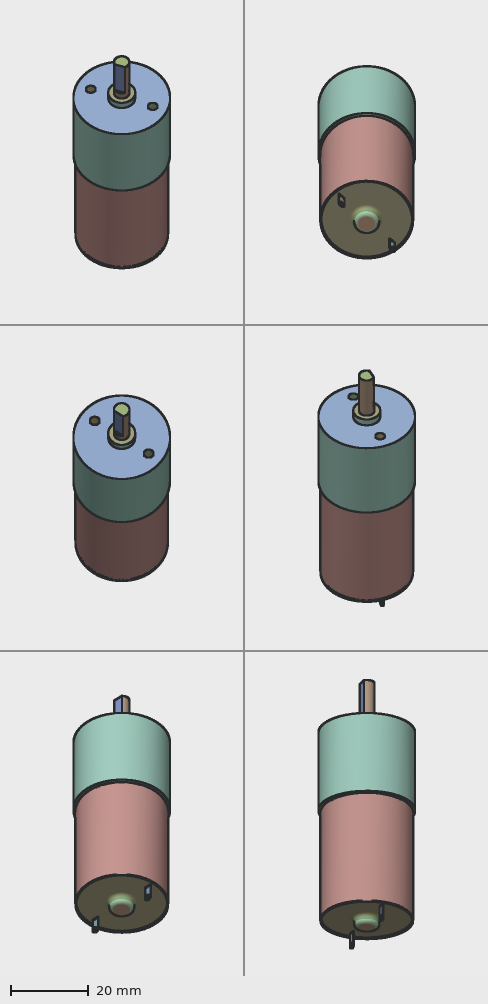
import cadquery as cq
import math

can_diameter = 24.0
can_height = 31.0
can_rounding = 0.8
recess_diameter = 23.4
recess_depth = 0.4

gearbox_diameter = 25.0
gearbox_height = 22.0
collar_diameter = 7.0
collar_height = 2.0

shaft_diameter = 4.0
shaft_length = 12.0
flat_length = 10.0
flat_depth = 0.6

mount_hole_diameter = 2.46
mount_hole_spacing = 17.0
mount_hole_depth = 4.0
drill_tip_angle = 118.0

cap_diameter = 6.5
cap_drop = 2.1
cap_rounding = 1.0

tab_width = 2.0
tab_length = 4.0
tab_thickness = 0.3
tab_spacing = 19.0
tab_hole_diameter = 1.0

gearbox_top = can_height + gearbox_height
collar_top = gearbox_top + collar_height
shaft_top = collar_top + shaft_length


def cylinder(diameter, bottom, height):
    return cq.Workplane("XY").workplane(offset=bottom).circle(diameter / 2).extrude(height)


def motor_can():
    """Can with a rounded upper rim and a shallow recess in its underside."""
    can = cylinder(can_diameter, 0, can_height)
    can = can.faces(">Z").edges().fillet(can_rounding)
    return can.cut(cylinder(recess_diameter, 0, recess_depth))


def end_cap():
    """Rear cap rising from the recess floor, flared at its root and rounded at its tip."""
    radius = cap_diameter / 2
    diagonal = cap_rounding * math.sqrt(0.5)
    root_radius = radius + cap_rounding
    root_z = recess_depth - cap_rounding
    tip_radius = radius - cap_rounding
    tip_z = cap_rounding - cap_drop
    profile = (
        cq.Workplane("XZ")
        .moveTo(0, recess_depth)
        .lineTo(root_radius, recess_depth)
        .threePointArc((root_radius - diagonal, root_z + diagonal), (radius, root_z))
        .lineTo(radius, tip_z)
        .threePointArc((tip_radius + diagonal, tip_z - diagonal), (tip_radius, -cap_drop))
        .lineTo(0, -cap_drop)
        .close()
    )
    return profile.revolve(360, (0, 0, 0), (0, 1, 0))


def output_shaft():
    """D-shaped shaft with its flat facing -Y."""
    shaft = cylinder(shaft_diameter, collar_top, shaft_length)
    flat_y = flat_depth - shaft_diameter / 2
    flat_cutter = (
        cq.Workplane("XY")
        .box(shaft_diameter, shaft_diameter, flat_length, centered=(True, False, False))
        .translate((0, flat_y - shaft_diameter, shaft_top - flat_length))
    )
    return shaft.cut(flat_cutter)


def mount_hole(x):
    """Blind hole in the gearbox face, ending in a drill cone."""
    radius = mount_hole_diameter / 2
    tip_height = radius / math.tan(math.radians(drill_tip_angle / 2))
    profile = (
        cq.Workplane("XZ")
        .lineTo(radius, 0)
        .lineTo(radius, -mount_hole_depth)
        .lineTo(0, -mount_hole_depth - tip_height)
        .close()
    )
    return profile.revolve(360, (0, 0, 0), (0, 1, 0)).translate((x, 0, gearbox_top))


def terminal_tab(x):
    """Flat solder tab with a round end and a wire hole concentric with it, fixed to the recess floor."""
    half_width = tab_width / 2
    eye_z = half_width - tab_length
    tab = (
        cq.Workplane("XZ")
        .moveTo(-half_width, recess_depth)
        .lineTo(-half_width, eye_z)
        .threePointArc((0, -tab_length), (half_width, eye_z))
        .lineTo(half_width, recess_depth)
        .close()
        .moveTo(0, eye_z)
        .circle(tab_hole_diameter / 2)
        .extrude(tab_thickness / 2, both=True)
    )
    return tab.translate((x, 0, 0))


result = (
    motor_can()
    .union(cylinder(gearbox_diameter, can_height, gearbox_height))
    .union(cylinder(collar_diameter, gearbox_top, collar_height))
    .union(output_shaft())
    .union(end_cap())
)
for side in (-1, 1):
    result = result.cut(mount_hole(side * mount_hole_spacing / 2))
    result = result.union(terminal_tab(side * tab_spacing / 2))